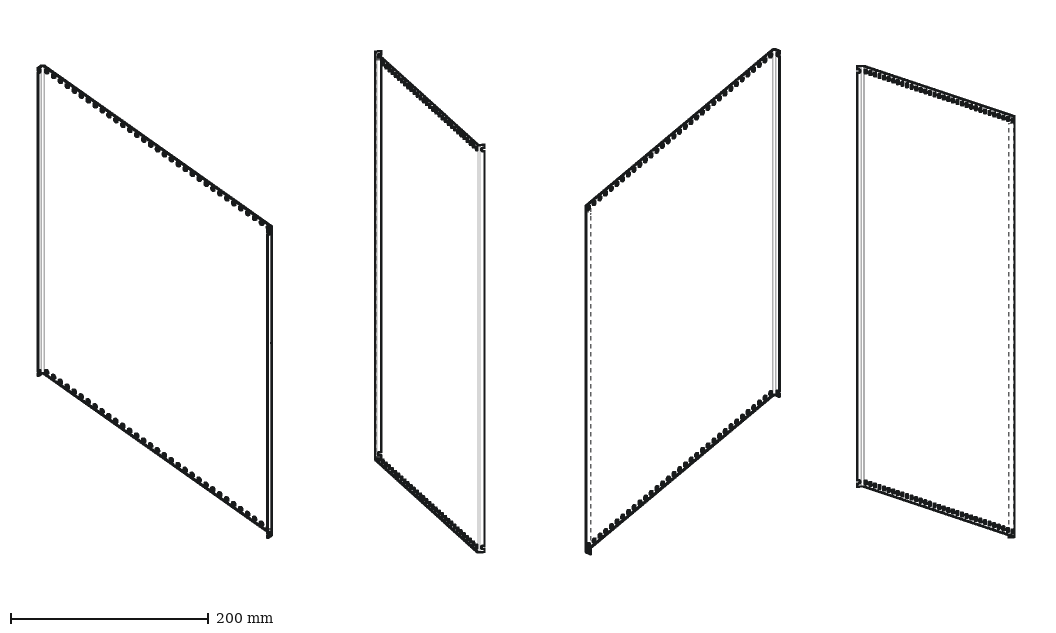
import cadquery as cq

width = 332.0
depth = 7.5
height = 431.5

thickness = 1.0
inner_radius = 1.5
outer_radius = inner_radius + thickness

holes_per_row = 33
row_length = 319.7
row_spacing = 421.5
hole_diameter = 4.1
hole_pitch = row_length / (holes_per_row - 1)

notch_width = 3.5
notch_depth = 3.5

back_y = depth / 2
front_y = -depth / 2


def rounded_back_block(block_width, radius):
    """Full-depth block with its two upright back edges rounded."""
    return (
        cq.Workplane("XY")
        .box(block_width, depth, height)
        .edges("|Z and >Y")
        .fillet(radius)
    )


def make_channel():
    """Flat panel at the back with a flange bent forward along each side."""
    outer = rounded_back_block(width, outer_radius)
    inner = rounded_back_block(width - 2 * thickness, inner_radius)
    return outer.cut(inner.translate((0, -thickness, 0)))


def make_panel_holes():
    """Through holes at a constant pitch in two horizontal rows."""
    return (
        cq.Workplane("XZ", origin=(0, back_y, 0))
        .rarray(hole_pitch, row_spacing, holes_per_row, 2)
        .circle(hole_diameter / 2)
        .extrude(thickness)
    )


def make_flange_notches():
    """Notches through both flanges, level with the hole rows."""
    return (
        cq.Workplane("YZ", origin=(0, front_y, 0))
        .pushPoints([(0, -row_spacing / 2), (0, row_spacing / 2)])
        .slot2D(2 * notch_depth, notch_width)
        .extrude(width / 2, both=True)
    )


result = make_channel().cut(make_panel_holes()).cut(make_flange_notches())